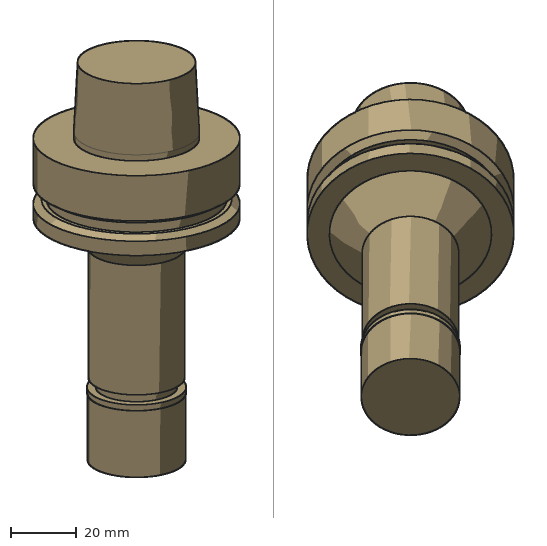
import cadquery as cq

nut_dia = 30.0
nut_rim_dia = 30.3
neck_dia = 25.0
shank_dia = 29.5
cone_dia = 49.4
flange_dia = 63.0
groove_dia = 55.0
groove_ledge_dia = 58.0
taper_base_dia = 38.4
taper_top_dia = 36.0

nut_rim_z = 21.8
nut_top_z = 23.8
shank_bottom_z = 26.9
shank_top_z = 69.3
flange_bottom_z = 79.0
groove_lower_edge_z = 83.7
groove_floor_bottom_z = 85.2
groove_floor_top_z = 88.8
groove_upper_edge_z = 90.4
flange_top_z = 105.2
taper_base_z = 107.2
total_height = 130.0


def section(bottom_z, top_z, bottom_dia, top_dia=None):
    """Solid of revolution about Z: a cylinder, or a cone when top_dia is given."""
    bottom_radius = bottom_dia / 2
    top_radius = (top_dia or bottom_dia) / 2
    profile = [(0, bottom_z), (bottom_radius, bottom_z), (top_radius, top_z), (0, top_z)]
    return cq.Workplane("XZ").polyline(profile).close().revolve(360, (0, 0), (0, 1))


nut = section(0, nut_rim_z, nut_dia)
nut_rim = section(nut_rim_z, nut_top_z, nut_rim_dia)
neck = section(nut_top_z, shank_bottom_z, neck_dia)

shank = section(shank_bottom_z, shank_top_z, shank_dia)
shank_cone = section(shank_top_z, flange_bottom_z, shank_dia, cone_dia)

flange_lower = section(flange_bottom_z, groove_lower_edge_z, flange_dia)
groove_lower_wall = section(groove_lower_edge_z, groove_floor_bottom_z, flange_dia, groove_ledge_dia)
groove_floor = section(groove_floor_bottom_z, groove_floor_top_z, groove_dia)
groove_upper_wall = section(groove_floor_top_z, groove_upper_edge_z, groove_ledge_dia, flange_dia)
flange_upper = section(groove_upper_edge_z, flange_top_z, flange_dia)

taper_seat = section(flange_top_z, taper_base_z, taper_base_dia)
taper = section(taper_base_z, total_height, taper_base_dia, taper_top_dia)

result = nut
for part in (
    nut_rim, neck, shank, shank_cone,
    flange_lower, groove_lower_wall, groove_floor, groove_upper_wall, flange_upper,
    taper_seat, taper,
):
    result = result.union(part)